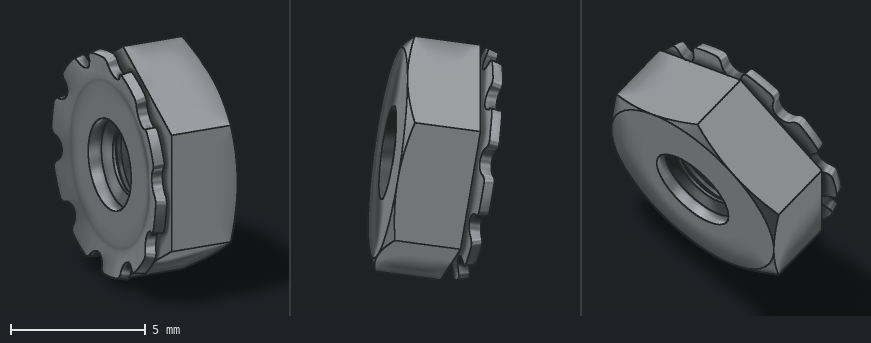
import cadquery as cq
import math

corner_distance = 9.17
flat_radius = corner_distance / 2 * math.cos(math.radians(30))
nut_depth = 2.76
rear_chamfer_depth = 0.275

neck_radius = 2.28
overall_depth = 3.57
washer_rear = 2.9
washer_front = 3.31
rear_flat_radius = 3.38
front_flat_radius = 3.22
rim_rear = 3.16
rim_rear_radius = 4.365
rim_front_radius = 4.255

tooth_count = 10
tooth_pitch_angle = 360 / tooth_count
first_notch_angle = 7.6
notch_radius = 0.53
notch_center_radius = 4.24
tooth_corner_radius = 0.275

major_radius = 1.75
minor_radius = 1.32
ridge_count = 3
pitch = 0.825
crest_width = 0.14
flank_angle = 30.0
flank_depth = (major_radius - minor_radius) * math.tan(math.radians(flank_angle))


def revolve_about_y(points):
    """Solid of revolution from (radius, y) points."""
    return cq.Workplane("XY").polyline(points).close().revolve(360, (0, 0, 0), (0, 1, 0))


def make_nut():
    hexagon = cq.Workplane("XZ").polygon(6, corner_distance).extrude(-nut_depth)
    hexagon = hexagon.rotate((0, 0, 0), (0, 1, 0), 30)
    chamfer_envelope = revolve_about_y([
        (0, 0),
        (flat_radius, 0),
        (corner_distance / 2, rear_chamfer_depth),
        (corner_distance / 2, nut_depth),
        (0, nut_depth),
    ])
    return hexagon.intersect(chamfer_envelope)


def make_washer():
    washer = revolve_about_y([
        (0, washer_rear),
        (rear_flat_radius, washer_rear),
        (rim_rear_radius, rim_rear),
        (rim_front_radius, overall_depth),
        (front_flat_radius, washer_front),
        (0, washer_front),
    ])
    notches = (
        cq.Workplane("XZ")
        .polarArray(notch_center_radius, tooth_pitch_angle / 2, 360, tooth_count)
        .circle(notch_radius)
        .extrude(-overall_depth)
    )
    washer = washer.cut(notches)

    def is_tooth_corner(edge):
        start = edge.startPoint()
        end = edge.endPoint()
        crosses_rim = abs(start.y - end.y) > (overall_depth - rim_rear) / 2
        near_rim = min(math.hypot(p.x, p.z) for p in (start, end)) > rear_flat_radius + notch_radius
        return crosses_rim and near_rim

    corners = [edge for edge in washer.edges().vals() if is_tooth_corner(edge)]
    washer = washer.newObject(corners).fillet(tooth_corner_radius)
    return washer.rotate((0, 0, 0), (0, 1, 0), first_notch_angle - tooth_pitch_angle / 2)


def make_bore():
    profile = [(0, 0), (major_radius, 0), (major_radius, overall_depth), (0, overall_depth)]
    bore = revolve_about_y(profile)
    for index in range(ridge_count):
        ridge_front = nut_depth - index * pitch
        crest_front = ridge_front - flank_depth
        crest_rear = crest_front - crest_width
        ridge = revolve_about_y([
            (major_radius, ridge_front),
            (minor_radius, crest_front),
            (minor_radius, crest_rear),
            (major_radius, crest_rear - flank_depth),
        ])
        bore = bore.cut(ridge)
    return bore


neck = cq.Workplane("XZ").circle(neck_radius).extrude(-washer_front)
assembled = make_nut().union(neck).union(make_washer()).cut(make_bore())

result = assembled.rotate((0, 0, 0), (0, 0, 1), 180)